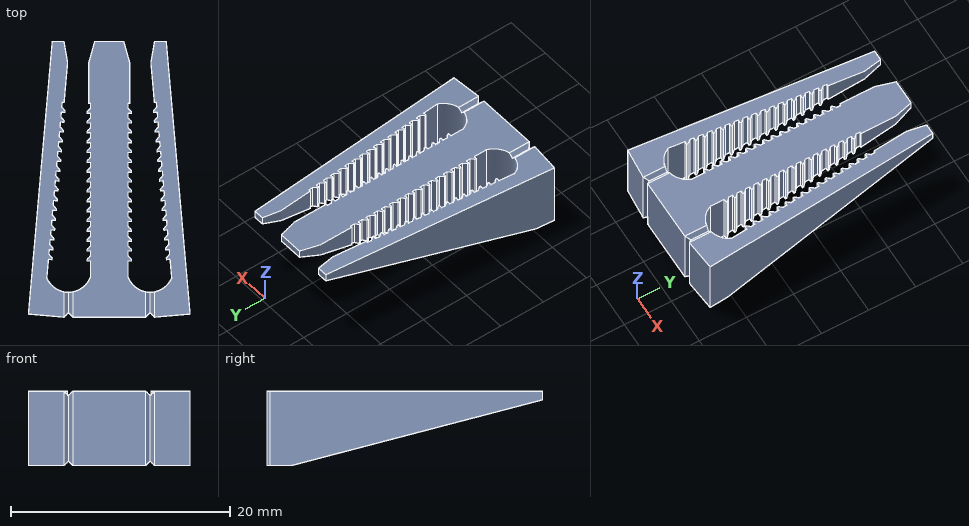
import cadquery as cq
import math

length = 25.2
width = 14.8
height = 6.8

flat_length = 2.3
tip_height = 0.8

lean = math.radians(5)

groove_x = 3.73
groove_depth = 0.4
groove_half_width = groove_depth

slot_end_y = flat_length
slot_end_radius = 2.15
slot_centre_y = slot_end_y + slot_end_radius

prong_root = 1.71
prong_plain = 1.9
prong_crest = 2.05
prong_tip = 1.34

arm_root = 1.4
arm_plain = 1.6
arm_crest = 1.75
arm_tip = 1.05

teeth_start = 5.15
teeth_end = 19.53
tooth_count = 16
tooth_land = 0.15
tooth_base = 0.48
taper_start = 23.2

corner_x = -width / 2
corner_y = (width / 2 - groove_x - groove_half_width) * math.tan(lean)


def arm_point(across, along):
    """Place a point of the left arm, given square to and along its outer side."""
    x = corner_x + across * math.cos(lean) + along * math.sin(lean)
    y = corner_y - across * math.sin(lean) + along * math.cos(lean)
    return x, y


def prong_point(across, along):
    """Place a point of the left side of the prong, given as half width and Y."""
    return -across, along


def toothed_edge(place, root, plain, crest, tip):
    """Points from the first tooth to the tip along one gripping side."""
    pitch = (teeth_end - teeth_start) / tooth_count
    points = []
    for i in range(tooth_count):
        start = teeth_start + i * pitch
        points.append(place(root, start))
        points.append(place(crest, start))
        points.append(place(crest, start + tooth_land))
        points.append(place(root, start + tooth_base))
    points.append(place(root, teeth_end))
    points.append(place(plain, teeth_end))
    points.append(place(plain, taper_start))
    points.append(place(tip, length))
    return points


def slot_outline():
    """Left slot: a round end between the toothed prong and the toothed arm."""
    prong_reach = groove_x - prong_root
    prong_start = (-prong_root, slot_centre_y - math.sqrt(slot_end_radius**2 - prong_reach**2))

    dx = -groove_x - corner_x
    dy = slot_centre_y - corner_y
    centre_across = dx * math.cos(lean) - dy * math.sin(lean)
    centre_along = dx * math.sin(lean) + dy * math.cos(lean)
    arm_reach = centre_across - arm_root
    arm_start = arm_point(arm_root, centre_along - math.sqrt(slot_end_radius**2 - arm_reach**2))

    prong_side = toothed_edge(prong_point, prong_root, prong_plain, prong_crest, prong_tip)
    arm_side = toothed_edge(arm_point, arm_root, arm_plain, arm_crest, arm_tip)

    outline = cq.Workplane("XY").moveTo(*arm_start)
    outline = outline.threePointArc((-groove_x, slot_end_y), prong_start)
    for point in prong_side + arm_side[::-1]:
        outline = outline.lineTo(*point)
    return outline.close()


def wedge():
    """Side profile over the full width."""
    return (
        cq.Workplane("YZ")
        .polyline([
            (0, 0),
            (flat_length, 0),
            (length, height - tip_height),
            (length, height),
            (0, height),
        ])
        .close()
        .extrude(width / 2, both=True)
    )


def plan():
    """Outline from above; the wedge trims the leaning sides where they run past the tips."""
    left_back = (-groove_x - groove_half_width, 0)
    left_side = [left_back, arm_point(0, 0), arm_point(0, length)]
    right_side = [(-x, y) for x, y in reversed(left_side)]
    return cq.Workplane("XY").polyline(left_side + right_side).close().extrude(height)


def groove_cutter():
    """V grooves, ending inside the slot, along the top, the back and the underside at the left arm."""
    inner = -groove_x + groove_half_width
    outer = -groove_x - groove_half_width
    back = cq.Workplane("XY").polyline([(outer, 0), (-groove_x, groove_depth), (inner, 0)])
    cutter = back.close().extrude(height)
    for face_z, apex_z in ((0, groove_depth), (height, height - groove_depth)):
        profile = cq.Workplane("XZ").polyline([(outer, face_z), (-groove_x, apex_z), (inner, face_z)])
        cutter = cutter.union(profile.close().extrude(-slot_centre_y))
    return cutter


body = wedge().intersect(plan())
left_cut = slot_outline().extrude(height).union(groove_cutter())
result = body.cut(left_cut).cut(left_cut.mirror("YZ"))